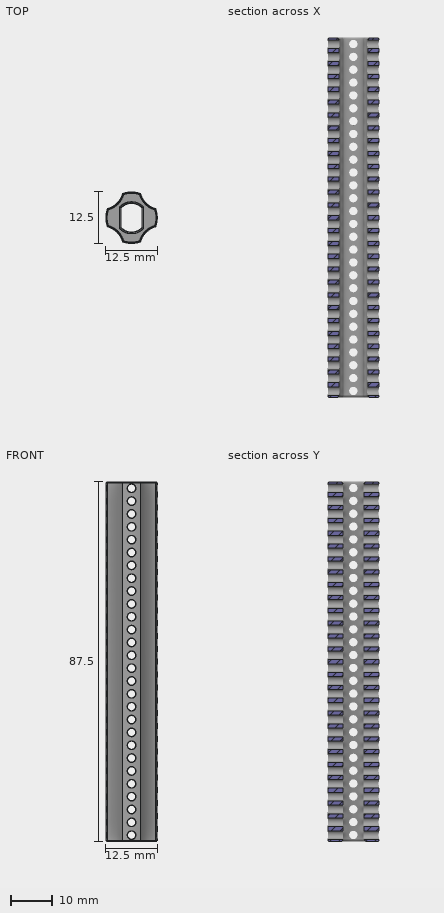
import cadquery as cq
import math

length = 87.5
outer_diameter = 12.5
outer_radius = outer_diameter / 2

lobe_count = 4
lobe_width = 4.4
flute_depth_radius = 5.0
end_chamfer = 0.31

bore_diameter = 7.0
bore_flat_width = 5.1
bore_chamfer = 0.39

hole_diameter = 2.0
holes_per_lobe = 28
hole_pitch = length / holes_per_lobe


def polar_point(radius, angle):
    """Point at a radius and an angle in radians about the axis."""
    return (radius * math.cos(angle), radius * math.sin(angle))


def make_bar():
    """Four-lobed bar with chamfered ends."""
    lobe_step = 2 * math.pi / lobe_count
    lobe_half_angle = math.asin(lobe_width / 2 / outer_radius)
    profile = cq.Workplane("XY").moveTo(*polar_point(outer_radius, -lobe_half_angle))
    for i in range(lobe_count):
        lobe_angle = i * lobe_step
        lobe_middle = polar_point(outer_radius, lobe_angle)
        lobe_end = polar_point(outer_radius, lobe_angle + lobe_half_angle)
        flute_middle = polar_point(flute_depth_radius, lobe_angle + lobe_step / 2)
        next_lobe_start = polar_point(outer_radius, lobe_angle + lobe_step - lobe_half_angle)
        profile = profile.threePointArc(lobe_middle, lobe_end)
        profile = profile.threePointArc(flute_middle, next_lobe_start)
    bar = profile.close().extrude(length)
    return bar.faces("<Z or >Z").edges().chamfer(end_chamfer)


def flared_half_outline(half_width):
    """Half of a bore's lengthwise section in XZ, widened by a chamfer at both ends."""
    flared_half_width = half_width + bore_chamfer
    points = [
        (0, 0),
        (flared_half_width, 0),
        (half_width, bore_chamfer),
        (half_width, length - bore_chamfer),
        (flared_half_width, length),
        (0, length),
    ]
    return cq.Workplane("XZ").polyline(points).close()


def make_bore():
    """Through bore with two flats, its rims chamfered at both ends."""
    round_hole = flared_half_outline(bore_diameter / 2).revolve(360, (0, 0), (0, 1))
    half_slot = flared_half_outline(bore_flat_width / 2).extrude(outer_radius, both=True)
    slot = half_slot.union(half_slot.mirror("YZ"))
    return round_hole.intersect(slot)


def make_cross_holes(plane):
    """Row of holes, each passing through two opposite lobes."""
    centers = [(0, (i + 0.5) * hole_pitch) for i in range(holes_per_lobe)]
    holes = cq.Workplane(plane).pushPoints(centers).circle(hole_diameter / 2)
    return holes.extrude(outer_diameter, both=True)


result = make_bar().cut(make_bore())
result = result.cut(make_cross_holes("XZ")).cut(make_cross_holes("YZ"))